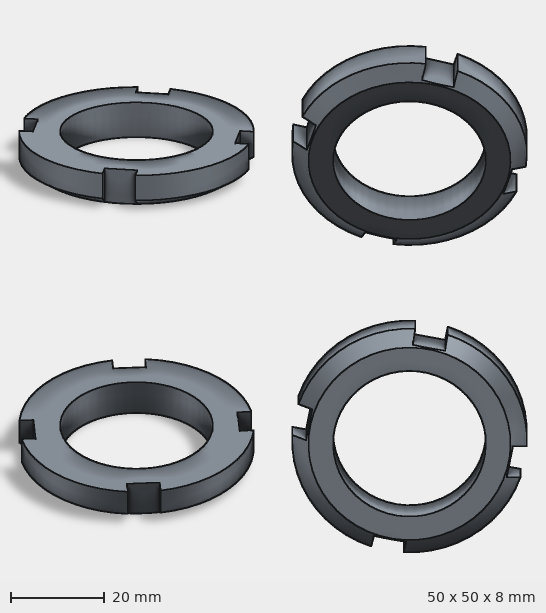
import cadquery as cq

outer_diameter = 50.0
bore_diameter = 32.5
thickness = 8.0

chamfer_face_diameter = 43.0
chamfer_height = 2.25

slot_count = 4
slot_width = 7.0
slot_floor_distance = 21.75
first_slot_angle = 45.0

outer_radius = outer_diameter / 2
bore_radius = bore_diameter / 2
chamfer_face_radius = chamfer_face_diameter / 2


def make_ring():
    """Bored ring with its chamfer, revolved about Z from the lower face at Z = 0."""
    section = [
        (bore_radius, 0),
        (chamfer_face_radius, 0),
        (outer_radius, chamfer_height),
        (outer_radius, thickness),
        (bore_radius, thickness),
    ]
    return cq.Workplane("XZ").polyline(section).close().revolve(360, (0, 0, 0), (0, 1, 0))


def make_slot(angle):
    """Cutter for one slot, reaching outward from the flat slot floor past the rim."""
    cutter_length = outer_radius
    cutter = cq.Workplane("XY").box(cutter_length, slot_width, thickness, centered=(False, True, False))
    return cutter.translate((slot_floor_distance, 0, 0)).rotate((0, 0, 0), (0, 0, 1), angle)


result = make_ring()
for slot_index in range(slot_count):
    slot_angle = first_slot_angle + slot_index * 360 / slot_count
    result = result.cut(make_slot(slot_angle))